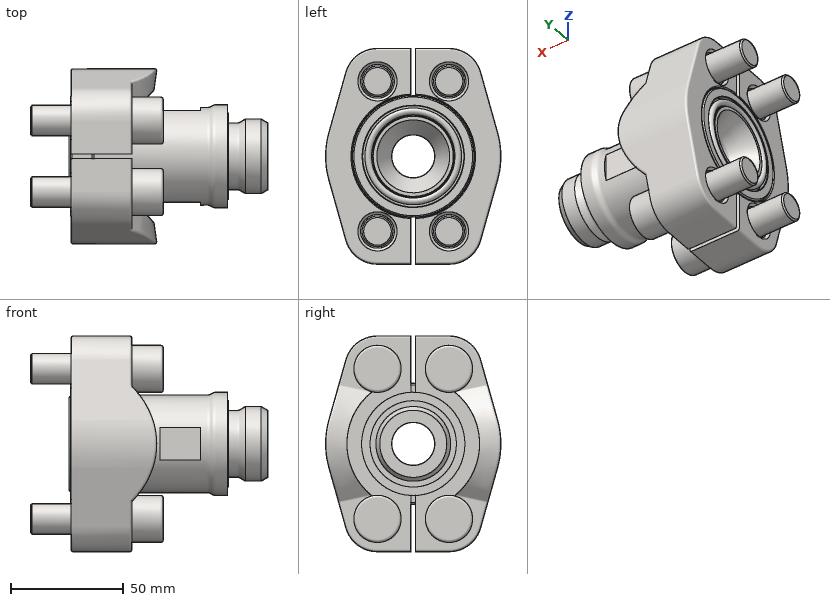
import cadquery as cq
import math


flange_thickness = 27.0
flange_half_height = 48.0
flange_half_width = 39.0
flange_edge_radius = 1.0
slot_width = 2.0
crest_x = 38.25
crest_radius = 38.0
crest_draft = math.radians(8)
crest_clearance_diameter = 59.0
recess_diameter = 54.4
recess_chamfer = 0.5
pipe_hole_diameter = 45.0

bolt_offset_y = 15.9
bolt_offset_z = 33.35
bolt_hole_diameter = 15.0
bolt_hole_chamfer = 1.2
bolt_shank_diameter = 13.68
bolt_protrusion = 18.0
bolt_tip_chamfer = 0.7
bolt_neck_fillet = 0.4
bolt_head_diameter = 21.0
bolt_head_height = 14.0
bolt_head_fillet = 1.2

head_diameter = 54.0
head_front_x = -0.3
head_back_x = 10.2
head_front_chamfer = 0.6
head_back_chamfer = 0.8
head_root_fillet = 0.5

pipe_diameter = 43.5
flat_start_x = 39.5
flat_length = 18.0
width_across_flats = 41.0

slope_angle = math.radians(30)
collar_diameter = 45.95
collar_blend_x = 60.6
collar_blend_radius = 3.0
collar_end_x = 69.6
neck_diameter = 29.8
neck_end_x = 74.0
neck_blend_radius = 2.0
stud_diameter = 33.25
stud_end_x = 87.5

bore_diameter = 19.0
mouth_diameter = 32.4
mouth_angle = math.radians(30)
mouth_edge_chamfer = 0.3
mouth_root_fillet = 1.0

groove_inner_diameter = 36.11
groove_outer_diameter = 45.0
groove_edge_chamfer = 0.25
o_ring_mean_diameter = 40.05
o_ring_section = 3.0
o_ring_protrusion = 0.7

seal_diameter = 38.4
seal_depth = 2.5
seal_protrusion = 0.45

bolt_places = [(y, z) for y in (-bolt_offset_y, bolt_offset_y) for z in (-bolt_offset_z, bolt_offset_z)]
x_axis = ((0, 0, 0), (1, 0, 0))
full_turn = 360
bevel_taper = 45


def cylinder(diameter, start_x, end_x, center=(0, 0)):
    """Cylinder along X, centred on the (Y, Z) point `center`."""
    plane = cq.Workplane("YZ", origin=(start_x, *center))
    return plane.circle(diameter / 2).extrude(end_x - start_x)


def front_countersink(hole_diameter, chamfer, center=(0, 0)):
    """45 degree cone that bevels the mouth of a hole in the flange front face."""
    plane = cq.Workplane("YZ", origin=(0, *center))
    return plane.circle(hole_diameter / 2 + chamfer).extrude(chamfer, taper=bevel_taper)


def point_on_circle(radius, angle, center=(0, 0)):
    return (center[0] + radius * math.cos(angle), center[1] + radius * math.sin(angle))


def flange_plate():
    """Outline of the +Y half, extruded to the height of the crest.

    The end corners are centred on the bolts, the side arc on the X axis, and a straight
    tangent joins them.
    """
    corner_center = (bolt_offset_y, bolt_offset_z)
    corner_radius = flange_half_height - bolt_offset_z
    radius_difference = flange_half_width - corner_radius
    tangent_angle = math.atan2(bolt_offset_z, bolt_offset_y) - math.acos(
        radius_difference / math.hypot(*corner_center)
    )
    side_end_y, side_end_z = point_on_circle(flange_half_width, tangent_angle)
    corner_y, corner_z = point_on_circle(corner_radius, tangent_angle, corner_center)
    middle_angle = (tangent_angle + math.pi / 2) / 2
    middle_y, middle_z = point_on_circle(corner_radius, middle_angle, corner_center)
    return (
        cq.Workplane("YZ")
        .moveTo(slot_width / 2, -flange_half_height)
        .lineTo(bolt_offset_y, -flange_half_height)
        .threePointArc((middle_y, -middle_z), (corner_y, -corner_z))
        .lineTo(side_end_y, -side_end_z)
        .threePointArc((flange_half_width, 0), (side_end_y, side_end_z))
        .lineTo(corner_y, corner_z)
        .threePointArc((middle_y, middle_z), (bolt_offset_y, flange_half_height))
        .lineTo(slot_width / 2, flange_half_height)
        .close()
        .extrude(crest_x)
    )


def crest_cone():
    """Cone about a line parallel to Y, widest at the side of the flange."""
    axis_x = crest_x - crest_radius
    narrow_radius = crest_radius - flange_half_width * math.tan(crest_draft)
    return (
        cq.Workplane("XY")
        .moveTo(axis_x, 0)
        .lineTo(axis_x + narrow_radius, 0)
        .lineTo(crest_x, flange_half_width)
        .lineTo(axis_x, flange_half_width)
        .close()
        .revolve(full_turn, (axis_x, 0, 0), (axis_x, 1, 0))
    )


def flange_half():
    """Flange half on the +Y side."""
    crest_height = crest_x - flange_thickness
    back_stock = (
        cq.Workplane("XY", origin=(flange_thickness, 0, 0))
        .box(crest_height, flange_half_width, 2 * flange_half_height, centered=(False, False, True))
    )
    half = flange_plate().cut(back_stock.cut(crest_cone()))

    half = half.edges("not(|X or <Y)").fillet(flange_edge_radius)

    half = half.cut(cylinder(crest_clearance_diameter, flange_thickness, crest_x))
    half = half.cut(cylinder(pipe_hole_diameter, 0, flange_thickness))
    half = half.cut(cylinder(recess_diameter, 0, head_back_x))
    half = half.cut(front_countersink(recess_diameter, recess_chamfer))

    for z in (-bolt_offset_z, bolt_offset_z):
        center = (bolt_offset_y, z)
        half = half.cut(cylinder(bolt_hole_diameter, 0, flange_thickness, center))
        half = half.cut(front_countersink(bolt_hole_diameter, bolt_hole_chamfer, center))
    return half


def bolt(center):
    """Bolt with its head on the flange back and its tip standing out at the front."""
    head_end_x = flange_thickness + bolt_head_height
    shank = cylinder(bolt_shank_diameter, -bolt_protrusion, flange_thickness, center)
    head = cylinder(bolt_head_diameter, flange_thickness, head_end_x, center)
    shank = shank.faces("<X").chamfer(bolt_tip_chamfer)
    head = head.faces(">X").edges().fillet(bolt_head_fillet)

    reach = (bolt_shank_diameter + bolt_head_diameter) / 4
    under_head = cq.selectors.BoxSelector(
        (flange_thickness - bolt_neck_fillet, center[0] - reach, center[1] - reach),
        (flange_thickness + bolt_neck_fillet, center[0] + reach, center[1] + reach),
        boundingbox=True,
    )
    return shank.union(head).edges(under_head).fillet(bolt_neck_fillet)


def adapter():
    """Turned adapter: head, pipe, collar, neck and stud, with a through bore."""
    head_radius = head_diameter / 2
    pipe_radius = pipe_diameter / 2
    collar_radius = collar_diameter / 2
    neck_radius = neck_diameter / 2
    stud_radius = stud_diameter / 2
    bore_radius = bore_diameter / 2
    seal_radius = seal_diameter / 2
    slope = math.tan(slope_angle)

    def arc_step(radius, angle):
        """Axial run and radial rise of an arc that leaves the axial direction by `angle`."""
        return radius * math.sin(angle), radius * (1 - math.cos(angle))

    blend_run, blend_rise = arc_step(collar_blend_radius, slope_angle)
    half_run, half_rise = arc_step(collar_blend_radius, slope_angle / 2)
    cone_start_x = collar_blend_x + blend_run
    cone_end_x = cone_start_x + (collar_radius - pipe_radius - 2 * blend_rise) / slope
    collar_start_x = cone_end_x + blend_run

    neck_run, neck_rise = arc_step(neck_blend_radius, slope_angle)
    neck_half_run, neck_half_rise = arc_step(neck_blend_radius, slope_angle / 2)
    stud_start_x = neck_end_x + neck_run + (stud_radius - neck_radius - neck_rise) / slope
    stud_bevel_x = stud_end_x - (stud_radius - neck_radius) / slope

    mouth_start_x = head_front_x + mouth_edge_chamfer
    mouth_start_radius = mouth_diameter / 2 - mouth_edge_chamfer
    mouth_end_x = mouth_start_x + (mouth_start_radius - bore_radius) / math.tan(mouth_angle)
    root_run, root_rise = arc_step(mouth_root_fillet, mouth_angle)
    root_half_run, root_half_rise = arc_step(mouth_root_fillet, mouth_angle / 2)
    root_end_x = mouth_end_x + mouth_root_fillet * math.tan(mouth_angle / 2)

    groove_floor_x = head_front_x + o_ring_section - o_ring_protrusion
    groove_edge_x = head_front_x + groove_edge_chamfer
    groove_inner = groove_inner_diameter / 2
    groove_outer = groove_outer_diameter / 2

    root_fillet_drop = head_root_fillet * (1 - math.sqrt(0.5))
    seal_floor_x = collar_end_x - seal_depth

    body = (
        cq.Workplane("XY")
        .moveTo(mouth_start_x, mouth_start_radius)
        .lineTo(head_front_x, mouth_diameter / 2)
        .lineTo(head_front_x, groove_inner - groove_edge_chamfer)
        .lineTo(groove_edge_x, groove_inner)
        .lineTo(groove_floor_x, groove_inner)
        .lineTo(groove_floor_x, groove_outer)
        .lineTo(groove_edge_x, groove_outer)
        .lineTo(head_front_x, groove_outer + groove_edge_chamfer)
        .lineTo(head_front_x, head_radius - head_front_chamfer)
        .lineTo(head_front_x + head_front_chamfer, head_radius)
        .lineTo(head_back_x - head_back_chamfer, head_radius)
        .lineTo(head_back_x, head_radius - head_back_chamfer)
        .lineTo(head_back_x, pipe_radius + head_root_fillet)
        .threePointArc(
            (head_back_x + root_fillet_drop, pipe_radius + root_fillet_drop),
            (head_back_x + head_root_fillet, pipe_radius),
        )
        .lineTo(collar_blend_x, pipe_radius)
        .threePointArc(
            (collar_blend_x + half_run, pipe_radius + half_rise),
            (cone_start_x, pipe_radius + blend_rise),
        )
        .lineTo(cone_end_x, collar_radius - blend_rise)
        .threePointArc(
            (collar_start_x - half_run, collar_radius - half_rise),
            (collar_start_x, collar_radius),
        )
        .lineTo(collar_end_x, collar_radius)
        .lineTo(collar_end_x, seal_radius)
        .lineTo(seal_floor_x, seal_radius)
        .lineTo(seal_floor_x, neck_radius)
        .lineTo(neck_end_x, neck_radius)
        .threePointArc(
            (neck_end_x + neck_half_run, neck_radius + neck_half_rise),
            (neck_end_x + neck_run, neck_radius + neck_rise),
        )
        .lineTo(stud_start_x, stud_radius)
        .lineTo(stud_bevel_x, stud_radius)
        .lineTo(stud_end_x, neck_radius)
        .lineTo(stud_end_x, bore_radius)
        .lineTo(root_end_x, bore_radius)
        .threePointArc(
            (root_end_x - root_half_run, bore_radius + root_half_rise),
            (root_end_x - root_run, bore_radius + root_rise),
        )
        .close()
        .revolve(full_turn, *x_axis)
    )

    flat_center_x = flat_start_x + flat_length / 2
    for side in (-1, 1):
        flat_center_y = side * (width_across_flats + pipe_diameter) / 2
        cutter = cq.Workplane("XY", origin=(flat_center_x, flat_center_y, 0))
        body = body.cut(cutter.box(flat_length, pipe_diameter, pipe_diameter))
    return body


def o_ring():
    center_x = head_front_x - o_ring_protrusion + o_ring_section / 2
    ring = cq.Solid.makeTorus(
        o_ring_mean_diameter / 2, o_ring_section / 2, cq.Vector(center_x, 0, 0), cq.Vector(1, 0, 0)
    )
    return cq.Workplane(obj=ring)


def seal_ring():
    start_x = collar_end_x - seal_depth
    end_x = collar_end_x + seal_protrusion
    return cylinder(seal_diameter, start_x, end_x).cut(cylinder(neck_diameter, start_x, end_x))


right_half = flange_half()
left_half = right_half.mirror("XZ")
bolts = [bolt(place) for place in bolt_places]

bodies = [right_half, left_half, *bolts, adapter(), o_ring(), seal_ring()]
result = cq.Compound.makeCompound([body.solids().val() for body in bodies])